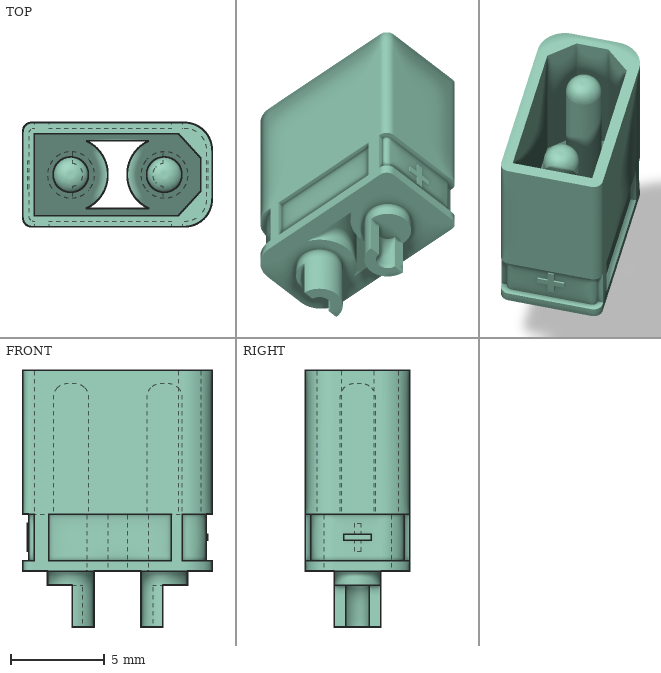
import cadquery as cq

length = 10.15
width = 5.6
total_height = 13.75
small_corner_radius = 0.5
large_corner_radius = 1.5

flange_height = 0.56
recess_height = 2.49
recess_depth_x = 0.32
recess_depth_y = 0.3
small_end_rail_setback = 0.6
large_end_rail_setback = 1.6
panel_length = 6.57
panel_center_x = -0.4
panel_depth = 0.3

mark_length = 1.5
mark_thickness = 0.35
mark_height = 0.08

wall = 0.6
key_cut_x = 1.21
key_cut_y = 1.32
opening_width = 3.6
collar_radius = 2.0

pin_pitch = 5.0
pin_diameter = 1.9
pin_tip_flat_diameter = 0.41
pin_top_below_rim = 0.7
tail_diameter = 2.5
tail_length = 3.0
tail_collar_height = 0.75
tail_flat_offset = 0.07
cup_diameter = 1.25

housing_height = total_height - tail_length
recess_top = flange_height + recess_height
recess_middle = flange_height + recess_height / 2
floor_top = recess_top
pin_top = housing_height - pin_top_below_rim


def rounded_block(size_x, size_y, height, small_radius, large_radius):
    """Block with small vertical corners at the -X end and large ones at the +X end."""
    block = cq.Workplane("XY").box(size_x, size_y, height, centered=(True, True, False))
    block = block.edges("|Z and <X").fillet(small_radius)
    return block.edges("|Z and >X").fillet(large_radius)


def make_outer_body():
    body = rounded_block(length, width, housing_height, small_corner_radius, large_corner_radius)

    band = cq.Workplane("XY").box(length, width, recess_height, centered=(True, True, False))
    neck = rounded_block(
        length - 2 * recess_depth_x,
        width - 2 * recess_depth_y,
        recess_height,
        small_end_rail_setback - recess_depth_x,
        large_corner_radius - recess_depth_x,
    )
    rail_length = length - small_end_rail_setback - large_end_rail_setback
    rail_center_x = (small_end_rail_setback - large_end_rail_setback) / 2
    rail = (
        cq.Workplane("XY")
        .center(rail_center_x, 0)
        .box(rail_length, width, recess_height, centered=(True, True, False))
    )
    ring = band.cut(neck).cut(rail).translate((0, 0, flange_height))
    return body.cut(ring)


def make_side_panels():
    """Shallow rectangular pockets in the middle of both long sides."""
    panel = cq.Workplane("XY").box(panel_length, 2 * panel_depth, recess_height)
    panels = cq.Workplane("XY")
    for side in (-1, 1):
        panels = panels.add(panel.translate((panel_center_x, side * width / 2, recess_middle)))
    return panels


def make_cavity():
    """Keyed socket, open at the top, with both corners cut off at the +X end."""
    end_x = length / 2 - wall
    side_y = width / 2 - wall
    return (
        cq.Workplane("XY")
        .workplane(offset=floor_top)
        .moveTo(-end_x, -side_y)
        .lineTo(end_x - key_cut_x, -side_y)
        .lineTo(end_x, -side_y + key_cut_y)
        .lineTo(end_x, side_y - key_cut_y)
        .lineTo(end_x - key_cut_x, side_y)
        .lineTo(-end_x, side_y)
        .close()
        .extrude(housing_height - floor_top)
    )


def make_floor_opening():
    """Waisted opening between the round collars of floor that carry the pins."""
    opening = cq.Workplane("XY").box(pin_pitch, opening_width, floor_top, centered=(True, True, False))
    collars = (
        cq.Workplane("XY")
        .pushPoints([(-pin_pitch / 2, 0), (pin_pitch / 2, 0)])
        .circle(collar_radius)
        .extrude(floor_top)
    )
    return opening.cut(collars)


def make_marks():
    """Plus sign on the -X end and minus sign on the +X end."""
    minus = cq.Workplane("XY").box(2 * mark_height, mark_length, mark_thickness)
    upright = cq.Workplane("XY").box(2 * mark_height, mark_thickness, mark_length)
    plus = minus.union(upright)
    neck_end_x = length / 2 - recess_depth_x
    plus = plus.translate((-neck_end_x, 0, recess_middle))
    return plus.union(minus.translate((neck_end_x, 0, recess_middle)))


def make_pin():
    """Pin on the Z axis with a domed tip and a half-cut solder cup that opens toward -X."""
    dome_radius = (pin_diameter - pin_tip_flat_diameter) / 2
    pin = (
        cq.Workplane("XY")
        .circle(pin_diameter / 2)
        .extrude(pin_top)
        .faces(">Z")
        .edges()
        .fillet(dome_radius)
    )
    tail = cq.Workplane("XY").circle(tail_diameter / 2).extrude(-tail_length)
    cup_length = tail_length - tail_collar_height
    cup = (
        cq.Workplane("XY")
        .workplane(offset=-tail_length)
        .circle(cup_diameter / 2)
        .extrude(cup_length)
    )
    open_side = (
        cq.Workplane("XY")
        .workplane(offset=-tail_length)
        .center(tail_flat_offset - tail_diameter / 2, 0)
        .rect(tail_diameter, tail_diameter)
        .extrude(cup_length)
    )
    return pin.union(tail.cut(cup).cut(open_side))


housing = make_outer_body()
for pocket in (make_side_panels(), make_cavity(), make_floor_opening()):
    housing = housing.cut(pocket)

left_pin = make_pin().translate((-pin_pitch / 2, 0, 0))
right_pin = left_pin.mirror("YZ")
result = housing.union(make_marks()).union(left_pin).union(right_pin)